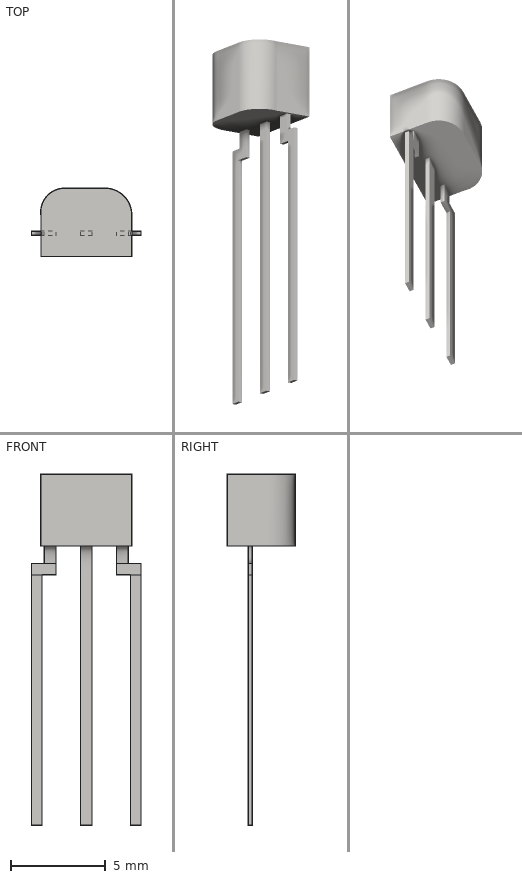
import cadquery as cq
import math

total_height = 18.53

housing_height = 3.8
housing_depth = 3.61
housing_left = -2.39
housing_right = 2.4
right_corner_radius = 1.43
left_corner_radius = 1.28
left_wall_depth = 2.11
housing_bottom = total_height - housing_height

lead_thickness = 0.22
lead_front = 1.11
middle_lead_width = 0.63
outer_span = 5.8
outer_lead_width = 0.57

stub_length = 0.9
stub_width = 0.63
jog_height = 0.61
jog_inner = 1.6
jog_outer = outer_span / 2
jog_top = housing_bottom - stub_length
jog_bottom = jog_top - jog_height


def make_housing():
    """Block with rounded rear corners; the left arc bulges slightly past its wall."""
    left_center_y = housing_depth - left_corner_radius
    past_widest = math.asin((left_center_y - left_wall_depth) / left_corner_radius)
    left_center_x = housing_left + left_corner_radius * math.cos(past_widest)
    arc_middle = (math.pi / 2 + math.pi + past_widest) / 2
    left_arc_middle = (
        left_center_x + left_corner_radius * math.cos(arc_middle),
        left_center_y + left_corner_radius * math.sin(arc_middle),
    )
    return (
        cq.Workplane("XY", origin=(0, 0, housing_bottom))
        .moveTo(housing_left, 0)
        .lineTo(housing_right, 0)
        .lineTo(housing_right, housing_depth - right_corner_radius)
        .tangentArcPoint((-right_corner_radius, right_corner_radius))
        .lineTo(left_center_x, housing_depth)
        .threePointArc(left_arc_middle, (housing_left, left_wall_depth))
        .close()
        .extrude(housing_height)
    )


def make_strip(center_x, width, bottom, top):
    """Flat strip in the lead plane, spanning bottom to top in Z."""
    return cq.Workplane("XY").box(
        width, lead_thickness, top - bottom, centered=(True, False, False)
    ).translate((center_x, lead_front, bottom))


def make_middle_lead():
    return make_strip(0, middle_lead_width, 0, housing_bottom)


def make_stub(side):
    """Short strip hanging from the housing, above the inner part of the jog."""
    center_x = side * (jog_inner + stub_width / 2)
    return make_strip(center_x, stub_width, jog_top, housing_bottom)


def make_jog(side):
    """Sideways strip between a stub and its outer lead."""
    center_x = side * (jog_inner + jog_outer) / 2
    return make_strip(center_x, jog_outer - jog_inner, jog_bottom, jog_top)


def make_outer_lead(side):
    """Long strip below the outer end of the jog."""
    center_x = side * (jog_outer - outer_lead_width / 2)
    return make_strip(center_x, outer_lead_width, 0, jog_bottom)


housing = make_housing()
middle_lead = make_middle_lead()
stubs = []
jogs = []
outer_leads = []
for side in (-1, 1):
    stubs.append(make_stub(side).val())
    jogs.append(make_jog(side).val())
    outer_leads.append(make_outer_lead(side).val())

result = cq.Compound.makeCompound(
    [housing.val(), middle_lead.val(), *stubs, *jogs, *outer_leads]
)